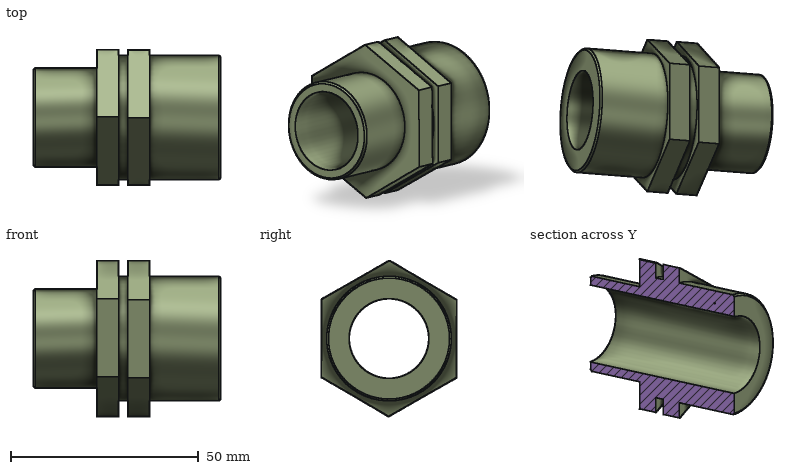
import cadquery as cq

total_length = 50.0

small_diameter = 26.44
large_diameter = 33.25
bore_diameter = 21.15
end_chamfer = 0.5

hex_across_flats = 36.0
hex_thickness = 5.75
hex_gap = 2.5
first_hex_start = 17.0
first_hex_turn = -0.53

first_hex_end = first_hex_start + hex_thickness
second_hex_start = first_hex_end + hex_gap


def cylinder(diameter, start, end):
    """Cylinder on the X axis between two X positions."""
    return cq.Workplane("YZ", origin=(start, 0, 0)).circle(diameter / 2).extrude(end - start)


def hex_flange(start, turn=0.0):
    """Hexagonal flange with flats facing +Y and -Y, turned about X by an angle in degrees."""
    flange = (
        cq.Workplane("YZ", origin=(start, 0, 0))
        .polygon(6, hex_across_flats, circumscribed=True)
        .extrude(hex_thickness)
    )
    return flange.rotate((0, 0, 0), (1, 0, 0), turn)


small_spigot = cylinder(small_diameter, 0, first_hex_end).faces("<X").chamfer(end_chamfer)
large_spigot = cylinder(large_diameter, first_hex_start, total_length).faces(">X").chamfer(end_chamfer)

body = (
    small_spigot
    .union(large_spigot)
    .union(hex_flange(first_hex_start, first_hex_turn))
    .union(hex_flange(second_hex_start))
)

result = body.cut(cylinder(bore_diameter, 0, total_length))